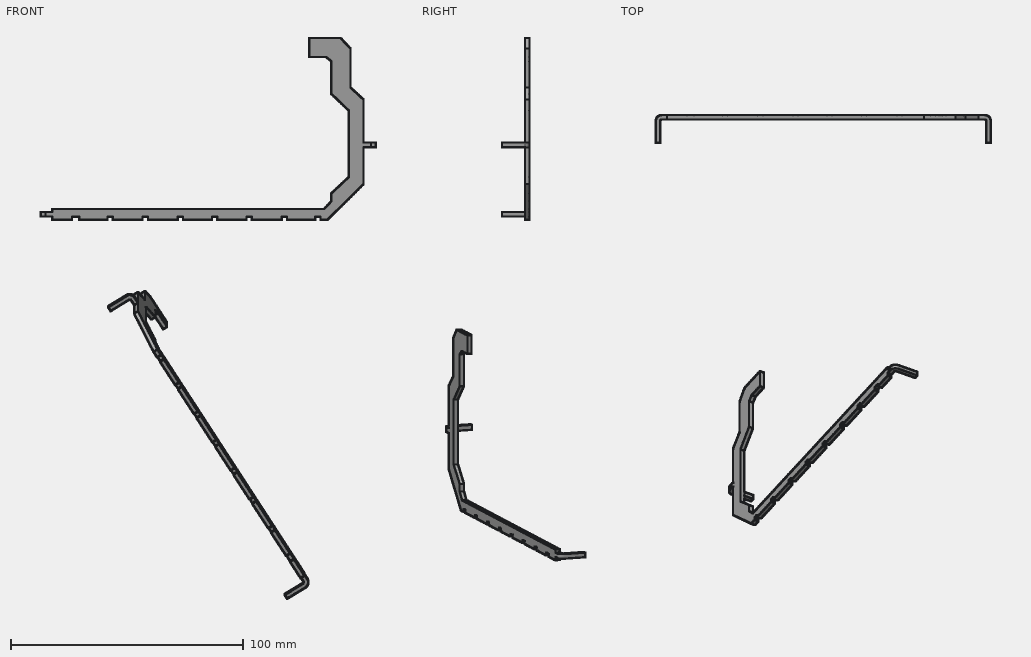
import cadquery as cq

length = 144.4
height = 78.4
depth = 12.0
thickness = 2.0

bar_start = 4.9
bar_height = 4.8
bar_corner_x = 123.6

column_right = 139.2
column_left = 132.7
neck_right = 133.5
neck_left = 125.2
hook_left = 115.7
hook_bottom = 70.2

notch_depth = 1.3
notch_width = 2.2
wide_notch_width = 3.0
wide_notch_center = 15.0
notch_centers = [29.9, 45.0, 60.2, 75.0, 89.8, 105.0, 119.4]

bend_inner_radius = 0.5
bend_outer_radius = bend_inner_radius + thickness
tab_overlap = 0.7
left_tab_bottom = 1.5
left_tab_height = 2.0
right_tab_bottom = 31.2
right_tab_height = 2.2


def make_strip():
    """Angular strip running along the bar, up the column and into the hook."""
    outline = [
        (bar_start, 0),
        (bar_corner_x, 0),
        (column_right, 15.5),
        (column_right, 51.8),
        (neck_right, 57.0),
        (neck_right, 73.8),
        (129.2, height),
        (hook_left, height),
        (hook_left, hook_bottom),
        (122.9, hook_bottom),
        (neck_left, 68.3),
        (neck_left, 54.3),
        (column_left, 47.1),
        (column_left, 18.5),
        (neck_left, 11.4),
        (neck_left, 8.1),
        (122.2, bar_height),
        (bar_start, bar_height),
    ]
    return cq.Workplane("XZ").polyline(outline).close().extrude(thickness)


def make_notch(center_x, width):
    """Rectangular cutter through the strip, open at the bottom of the bar."""
    return (
        cq.Workplane("XY")
        .box(width, thickness, notch_depth, centered=(True, False, False))
        .translate((center_x, -thickness, 0))
    )


def make_left_tab(root_x, bottom, tab_height):
    """L-shaped tab from root_x to X = 0, with its free leg bent toward -Y."""
    tab = (
        cq.Workplane("XY")
        .moveTo(root_x, 0)
        .lineTo(0, 0)
        .lineTo(0, -depth)
        .lineTo(thickness, -depth)
        .lineTo(thickness, -thickness)
        .lineTo(root_x, -thickness)
        .close()
        .extrude(tab_height)
    )
    inner_corner = cq.selectors.NearestToPointSelector((thickness, -thickness, tab_height / 2))
    outer_corner = cq.selectors.NearestToPointSelector((0, 0, tab_height / 2))
    tab = tab.edges("|Z").edges(inner_corner).fillet(bend_inner_radius)
    tab = tab.edges("|Z").edges(outer_corner).fillet(bend_outer_radius)
    return tab.translate((0, 0, bottom))


def make_right_tab(root_x, bottom, tab_height):
    """Mirrored tab from root_x to the far right end of the part."""
    tab = make_left_tab(length - root_x, bottom, tab_height)
    return tab.mirror("YZ").translate((length, 0, 0))


result = make_strip()
result = result.cut(make_notch(wide_notch_center, wide_notch_width))
for notch_center in notch_centers:
    result = result.cut(make_notch(notch_center, notch_width))

result = result.union(make_left_tab(bar_start + tab_overlap, left_tab_bottom, left_tab_height))
result = result.union(make_right_tab(column_right - tab_overlap, right_tab_bottom, right_tab_height))